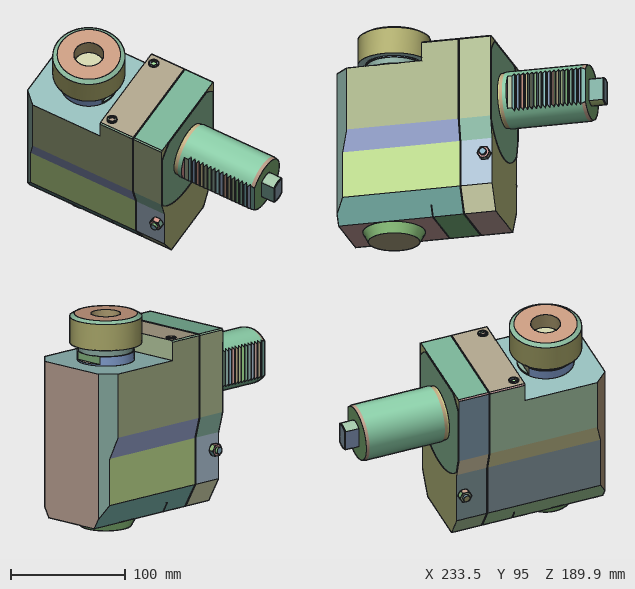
import cadquery as cq
import math


front_x = -142.5
rear_x = -0.5
bottom_z = -112.0
deck_z = 27.5
top_z = 45.3
step_x = -62.5
wide_half = 90.0 / 2
narrow_half = 79.6 / 2
bottom_half = 27.8
lower_slope_z = -90.4
front_taper = (-30.0, -48.8)
back_taper = (-21.7, -40.6)
corner_chamfer = 12.1
top_edge_chamfer = 1.2

lip_radius = 54.5
lip_inset = 1.2

groove_x = -29.2
groove_width = 0.82
groove_depth = 0.5
slit_x = -57.2
slit_width = 0.7
slit_height = 9.3

shank_radius = 25.0
collar_length = 1.5
shank_end = 78.0
shank_chamfer_length = 3.0
shank_chamfer_height = 0.82

flat_start = 8.0
flat_y = 20.0
tooth_depth = 1.9
tooth_half_width = 1.6
tooth_count = 16
first_root_x = 13.8
last_root_x = 73.5
tooth_pitch = (last_root_x - first_root_x) / (tooth_count - 1)
root_y = flat_y - tooth_depth
end_land_y = 19.0

tang_end = 91.0
tang_radius = 12.0
tang_thickness = 13.3
tang_chamfer = 0.7

spindle_x = -100.0
spindle_radius = 25.0
spindle_top_z = 36.0
neck_radius = 47.9 / 2
neck_lip_z = 41.8
wrench_half = 21.0
wrench_bottom_z = 29.0
nut_bottom_z = 43.0
nut_top_z = 68.9
nut_radius = 31.5
nut_chamfer_height = 2.3
nut_chamfer_width = 4.0
bore_radius = 26.0 / 2
bore_depth = 14.0

cap_bottom_z = -121.0
cap_top_radius = 27.3
cap_bottom_radius = 22.5

nozzle_x = -7.0
nozzle_z = -62.8
hex_across_flats = 10.0
hex_end_y = wide_half
hex_chamfer_angle = 30
stud_radius = 3.0
stud_end_y = 95.0 / 2

screw_x = -55.5
screw_y = 36.0
screw_head_radius = 9.0 / 2
screw_head_chamfer = 0.7
screw_proud = 0.7
screw_socket_flats = 5.1
screw_socket_depth = 1.9

overlap = 1.2


def hex_diameter(across_flats):
    return across_flats / math.cos(math.pi / 6)


def box_between(x_range, y_range, z_range):
    ranges = (x_range, y_range, z_range)
    size = [high - low for low, high in ranges]
    return cq.Workplane("XY").box(*size, centered=False).translate([low for low, high in ranges])


def section_points(inset):
    """Y-Z outline of the housing, moved inward by the inset on every side."""
    return [
        (-bottom_half + inset, bottom_z + inset),
        (bottom_half - inset, bottom_z + inset),
        (narrow_half - inset, lower_slope_z),
        (narrow_half - inset, back_taper[1]),
        (wide_half - inset, back_taper[0]),
        (wide_half - inset, top_z - inset),
        (-wide_half + inset, top_z - inset),
        (-wide_half + inset, front_taper[0]),
        (-narrow_half + inset, front_taper[1]),
        (-narrow_half + inset, lower_slope_z),
    ]


def section_slab(start_x, length, inset=0.0):
    plane = cq.Workplane("YZ", origin=(start_x, 0, 0))
    return plane.polyline(section_points(inset)).close().extrude(length)


def housing():
    body = section_slab(front_x, rear_x - front_x)
    body = body.faces(">Z").edges("|X").chamfer(top_edge_chamfer)

    deck_space = box_between((front_x, step_x), (-wide_half, wide_half), (deck_z, top_z))
    body = body.cut(deck_space)

    corner_y = wide_half - corner_chamfer
    plan = [
        (front_x, -corner_y),
        (front_x + corner_chamfer, -wide_half),
        (rear_x, -wide_half),
        (rear_x, wide_half),
        (front_x + corner_chamfer, wide_half),
        (front_x, corner_y),
    ]
    plan_plane = cq.Workplane("XY", origin=(0, 0, bottom_z))
    plan_block = plan_plane.polyline(plan).close().extrude(top_z - bottom_z)
    body = body.intersect(plan_block)

    groove_start = groove_x - groove_width / 2
    groove = section_slab(groove_start, groove_width).cut(
        section_slab(groove_start, groove_width, groove_depth)
    )
    body = body.cut(groove)

    slit = box_between(
        (slit_x - slit_width / 2, slit_x + slit_width / 2),
        (-wide_half, wide_half),
        (bottom_z, bottom_z + slit_height),
    )
    return body.cut(slit)


def mounting_lip():
    disc = cq.Workplane("YZ", origin=(rear_x - overlap, 0, 0)).circle(lip_radius).extrude(overlap - rear_x)
    return disc.intersect(section_slab(rear_x - overlap, overlap - rear_x, lip_inset))


def serrated_flat_cutter():
    """Material removed from the -Y side of the shank: a flat, V grooves and an end land."""
    outside_y = -shank_radius - overlap
    points = [(flat_start, outside_y), (flat_start, -flat_y)]
    for index in range(tooth_count):
        root_x = first_root_x + index * tooth_pitch
        points.append((root_x - tooth_half_width, -flat_y))
        points.append((root_x, -root_y))
        if index < tooth_count - 1:
            points.append((root_x + tooth_half_width, -flat_y))
    land_x = root_x + tooth_half_width * (end_land_y - root_y) / tooth_depth
    points += [(land_x, -end_land_y), (shank_end, -end_land_y), (shank_end, outside_y)]
    plane = cq.Workplane("XY", origin=(0, 0, -shank_radius))
    return plane.polyline(points).close().extrude(2 * shank_radius)


def shank():
    end_radius = shank_radius - shank_chamfer_height
    profile = [
        (-overlap, 0),
        (-overlap, end_radius),
        (collar_length, end_radius),
        (collar_length + shank_chamfer_length, shank_radius),
        (shank_end - shank_chamfer_length, shank_radius),
        (shank_end, end_radius),
        (shank_end, 0),
    ]
    body = cq.Workplane("XY").polyline(profile).close().revolve(360, (0, 0, 0), (1, 0, 0))
    return body.cut(serrated_flat_cutter())


def drive_tang():
    start_x = shank_end - overlap
    rod = cq.Workplane("YZ", origin=(start_x, 0, 0)).circle(tang_radius).extrude(tang_end - start_x)
    half = tang_thickness / 2
    slab = box_between((start_x, tang_end), (-half, half), (-tang_radius, tang_radius))
    return rod.intersect(slab).faces(">X").chamfer(tang_chamfer)


def spindle():
    profile = [
        (0, deck_z - overlap),
        (spindle_radius, deck_z - overlap),
        (spindle_radius, spindle_top_z),
        (neck_radius, spindle_top_z),
        (neck_radius, neck_lip_z),
        (spindle_radius, neck_lip_z),
        (spindle_radius, nut_bottom_z),
        (nut_radius, nut_bottom_z),
        (nut_radius, nut_top_z - nut_chamfer_height),
        (nut_radius - nut_chamfer_width, nut_top_z),
        (bore_radius, nut_top_z),
        (bore_radius, nut_top_z - bore_depth),
        (0, nut_top_z - bore_depth),
    ]
    body = cq.Workplane("XZ").polyline(profile).close().revolve(360, (0, 0, 0), (0, 1, 0))

    for inner, outer in ((-spindle_radius, -wrench_half), (wrench_half, spindle_radius)):
        flat = box_between(
            (inner, outer),
            (-spindle_radius, spindle_radius),
            (wrench_bottom_z, spindle_top_z),
        )
        body = body.cut(flat)
    return body.translate((spindle_x, 0, 0))


def bottom_cap():
    profile = [
        (0, bottom_z + overlap),
        (bottom_half - overlap, bottom_z + overlap),
        (cap_top_radius, bottom_z),
        (cap_bottom_radius, cap_bottom_z),
        (0, cap_bottom_z),
    ]
    body = cq.Workplane("XZ").polyline(profile).close().revolve(360, (0, 0, 0), (0, 1, 0))
    return body.translate((spindle_x, 0, 0))


def nozzle():
    """Hexagon nut and round stud on the -Y flank."""
    base_y = -narrow_half + overlap
    base = cq.Workplane("XZ", origin=(nozzle_x, base_y, nozzle_z))
    nut = base.polygon(6, hex_diameter(hex_across_flats)).extrude(hex_end_y + base_y)

    face_radius = hex_across_flats / 2
    corner_radius = hex_diameter(hex_across_flats) / 2
    chamfer_height = (corner_radius - face_radius) * math.tan(math.radians(hex_chamfer_angle))
    envelope = cq.Workplane("XZ", origin=(nozzle_x, -narrow_half, nozzle_z)).circle(corner_radius)
    envelope = envelope.extrude(hex_end_y - narrow_half)
    envelope = envelope.faces("<Y or >Y").chamfer(chamfer_height, corner_radius - face_radius)
    nut = nut.intersect(envelope)

    stud = base.circle(stud_radius).extrude(stud_end_y + base_y)
    return nut.union(stud)


def add_cap_screw(body, y):
    """Chamfered socket screw head standing just proud of the top face."""
    head_top_z = top_z + screw_proud
    head = cq.Workplane("XY", origin=(screw_x, y, top_z - overlap)).circle(screw_head_radius)
    head = head.extrude(overlap + screw_proud).faces(">Z").chamfer(screw_head_chamfer)
    socket = cq.Workplane("XY", origin=(screw_x, y, head_top_z))
    socket = socket.polygon(6, hex_diameter(screw_socket_flats)).extrude(-screw_socket_depth)
    return body.union(head).cut(socket)


front_nozzle = nozzle()
back_nozzle = front_nozzle.mirror("XZ")

result = housing()
attachments = [mounting_lip(), shank(), drive_tang(), spindle(), bottom_cap(), front_nozzle, back_nozzle]
for attachment in attachments:
    result = result.union(attachment)
for screw_side in (-1, 1):
    result = add_cap_screw(result, screw_side * screw_y)